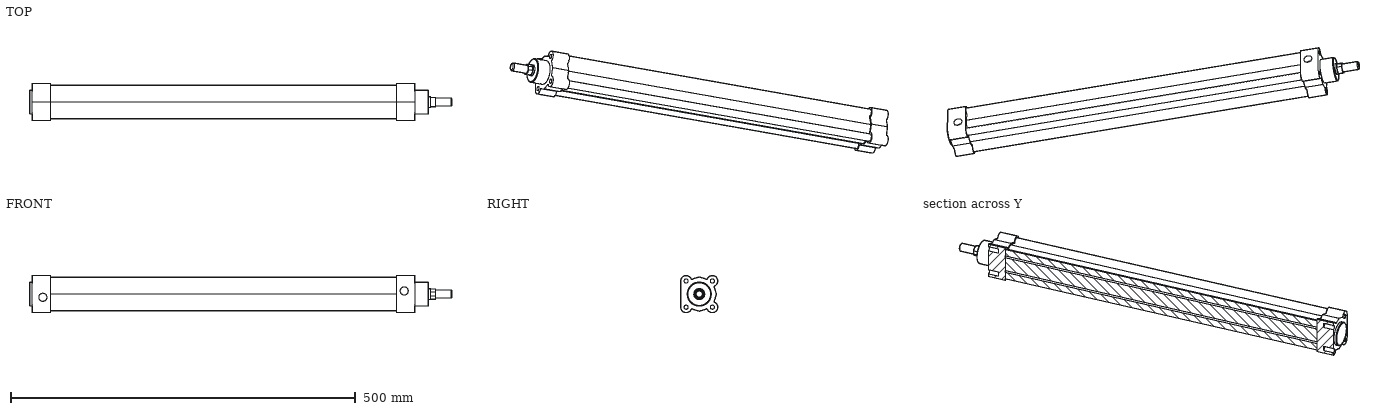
import cadquery as cq
import math


cover_distance = 555.0
cover_length = 26.8
spigot_length = 4.0
collar_length = 20.0
rod_shoulder_reach = 30.0
thread_length = 24.0

section_size = 54.0
screw_spacing = 38.0
screw_offset = screw_spacing / 2

cover_lobe_radius = section_size / 2 - screw_offset
cover_core_radius = 24.0
cover_ridge_height = 25.0
cover_notch_fillet = 1.0
spigot_diameter = 35.0
spigot_chamfer = 1.0

screw_hole_diameter = 6.0
screw_hole_depth = 16.0

port_diameter = 11.8
port_depth = 12.0
port_inset = 15.4
port_height = 4.6

barrel_lobe_radius = 5.5
barrel_core_radius = 22.0
barrel_ridge_height = 22.5
barrel_notch_fillet = 1.5

rod_diameter = 16.0
neck_diameter = 15.0
neck_length = 7.0
neck_chamfer = 0.2
thread_diameter = 12.0
thread_chamfer = 1.5
wrench_size = 14.0

front_cover_start = cover_distance - cover_length
rod_shoulder = cover_distance + rod_shoulder_reach
rod_end = rod_shoulder + thread_length


def yz_plane(x):
    """Workplane across the cylinder at x, with local x along Y, local y along Z and normal +X."""
    return cq.Workplane("YZ", origin=(x, 0, 0))


def screw_positions():
    return [(y, z) for y in (-screw_offset, screw_offset) for z in (-screw_offset, screw_offset)]


def roof(x, length, core_radius, ridge_height):
    """Low pitched roof over the +Z side of the core, its two planes tangent to the core circle."""
    tangent_angle = math.acos(core_radius / ridge_height)
    half_width = core_radius * math.sin(tangent_angle)
    eaves_height = core_radius * math.cos(tangent_angle)
    outline = [(0, 0), (half_width, eaves_height), (0, ridge_height), (-half_width, eaves_height)]
    return yz_plane(x).polyline(outline).close().extrude(length)


def lobed_bar(x, length, core_radius, ridge_height, lobe_radius, notch_fillet):
    """Round core with four roof ridges and four corner lobes, the notches between them filleted."""
    core = yz_plane(x).circle(core_radius).extrude(length)
    lobes = yz_plane(x).pushPoints(screw_positions()).circle(lobe_radius).extrude(length)
    bar = core.union(lobes)

    lobe_distance = math.hypot(screw_offset, screw_offset)
    along = (lobe_distance**2 + core_radius**2 - lobe_radius**2) / (2 * lobe_distance)
    across = math.sqrt(core_radius**2 - along**2)
    near = (along - across) / math.sqrt(2)
    far = (along + across) / math.sqrt(2)
    for y_size, z_size in ((near, far), (far, near)):
        for y_sign in (-1, 1):
            for z_sign in (-1, 1):
                notch = (x + length / 2, y_sign * y_size, z_sign * z_size)
                bar = bar.edges(cq.selectors.NearestToPointSelector(notch)).fillet(notch_fillet)

    ridge = roof(x, length, core_radius, ridge_height)
    for quarter in range(4):
        bar = bar.union(ridge.rotate((0, 0, 0), (1, 0, 0), 90 * quarter))
    return bar


def round_bar(x, length, diameter):
    """Cylinder along X."""
    profile = cq.Workplane("XZ").moveTo(x, 0).lineTo(x, diameter / 2).lineTo(x + length, diameter / 2)
    return profile.lineTo(x + length, 0).close().revolve(360, (0, 0, 0), (1, 0, 0))


def make_cover(x, outer_face, inward, port_z):
    """Cover block with a flat -Y side, an air port in that side and four blind screw holes."""
    cover = lobed_bar(
        x, cover_length, cover_core_radius, cover_ridge_height, cover_lobe_radius, cover_notch_fillet
    )
    flat_side = (
        yz_plane(x)
        .center(-section_size / 2 + cover_lobe_radius / 2, 0)
        .rect(cover_lobe_radius, screw_spacing)
        .extrude(cover_length)
    )
    screw_holes = (
        yz_plane(outer_face)
        .pushPoints(screw_positions())
        .circle(screw_hole_diameter / 2)
        .extrude(inward * screw_hole_depth)
    )
    port_origin = (outer_face + inward * port_inset, -section_size / 2, port_z)
    port = cq.Workplane("XZ", origin=port_origin).circle(port_diameter / 2).extrude(-port_depth)
    return cover.union(flat_side).cut(screw_holes).cut(port)


def make_rear_cover():
    cover = make_cover(0, 0, 1, -port_height)
    spigot = round_bar(-spigot_length, spigot_length, spigot_diameter).faces("<X").chamfer(spigot_chamfer)
    return cover.union(spigot)


def make_front_cover():
    cover = make_cover(front_cover_start, cover_distance, -1, port_height)
    collar = round_bar(cover_distance, collar_length, spigot_diameter).faces(">X").chamfer(spigot_chamfer)
    rod_bore = round_bar(front_cover_start, cover_length + collar_length, rod_diameter)
    return cover.union(collar).cut(rod_bore)


def make_barrel():
    return lobed_bar(
        cover_length,
        front_cover_start - cover_length,
        barrel_core_radius,
        barrel_ridge_height,
        barrel_lobe_radius,
        barrel_notch_fillet,
    )


def make_rod():
    """Rod through the front cover, then a neck with two wrench flats and a stepped-down thread."""
    rod_radius = rod_diameter / 2
    neck_radius = neck_diameter / 2
    thread_radius = thread_diameter / 2
    neck_start = rod_shoulder - neck_length
    profile = [
        (front_cover_start, 0),
        (front_cover_start, rod_radius),
        (neck_start - (rod_radius - neck_radius), rod_radius),
        (neck_start, neck_radius),
        (rod_shoulder - neck_chamfer, neck_radius),
        (rod_shoulder, neck_radius - neck_chamfer),
        (rod_shoulder, thread_radius),
        (rod_end - thread_chamfer, thread_radius),
        (rod_end, thread_radius - thread_chamfer),
        (rod_end, 0),
    ]
    rod = cq.Workplane("XZ").polyline(profile).close().revolve(360, (0, 0, 0), (1, 0, 0))
    flat_depth = (neck_diameter - wrench_size) / 2
    for side in (-1, 1):
        flat_centre = (rod_shoulder - neck_length / 2, side * (wrench_size + flat_depth) / 2, 0)
        rod = rod.cut(cq.Workplane("XY", origin=flat_centre).box(neck_length, flat_depth, neck_diameter))
    return rod


rear_cover = make_rear_cover()
barrel = make_barrel()
front_cover = make_front_cover()
piston_rod = make_rod()

result = cq.Compound.makeCompound(
    [rear_cover.val(), barrel.val(), front_cover.val(), piston_rod.val()]
)